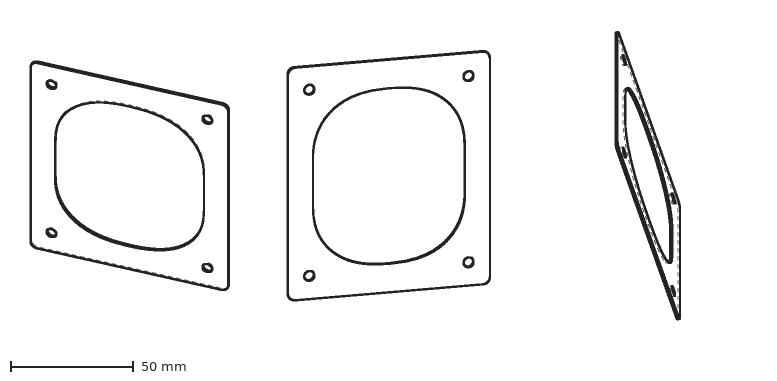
import cadquery as cq

width = 85.0
height = 100.0
thickness = 1.0
corner_radius = 3.0

hole_diameter = 4.2
hole_spacing_x = 67.0
hole_spacing_z = 80.0

opening_width = 64.0
opening_height = 75.4
side_straight = 20.0
end_straight = 2.0
corner_inset = 7.7


def make_plate():
    plate = cq.Workplane("XZ").rect(width, height).extrude(thickness / 2, both=True)
    return plate.edges("|Y").fillet(corner_radius)


def make_holes():
    return (
        cq.Workplane("XZ")
        .rect(hole_spacing_x, hole_spacing_z, forConstruction=True)
        .vertices()
        .circle(hole_diameter / 2)
        .extrude(thickness, both=True)
    )


def make_opening():
    x = opening_width / 2
    z = opening_height / 2
    side = side_straight / 2
    end = end_straight / 2
    mid_x = x - corner_inset
    mid_z = z - corner_inset
    up, down, right, left = (0, 1), (0, -1), (1, 0), (-1, 0)
    return (
        cq.Workplane("XZ")
        .moveTo(x, -side)
        .lineTo(x, side)
        .spline([(mid_x, mid_z), (end, z)], tangents=[up, left], includeCurrent=True)
        .lineTo(-end, z)
        .spline([(-mid_x, mid_z), (-x, side)], tangents=[left, down], includeCurrent=True)
        .lineTo(-x, -side)
        .spline([(-mid_x, -mid_z), (-end, -z)], tangents=[down, right], includeCurrent=True)
        .lineTo(end, -z)
        .spline([(mid_x, -mid_z), (x, -side)], tangents=[right, up], includeCurrent=True)
        .close()
        .extrude(thickness, both=True)
    )


result = make_plate().cut(make_holes()).cut(make_opening())